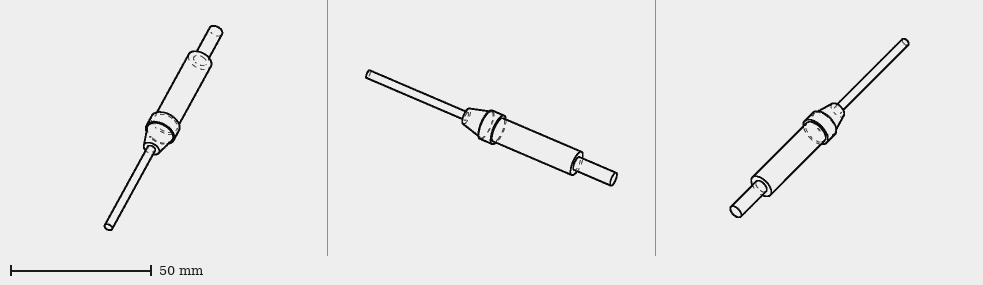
import cadquery as cq

SECTIONS = [
    (40.1, 3.0, 3.0),
    (8.0, 6.0, 10.0),
    (5.0, 11.0, 11.0),
    (32.1, 9.0, 9.0),
    (15.1, 5.0, 5.0),
]
TOTAL_LENGTH = sum(length for length, _, _ in SECTIONS)


def stepped_profile(sections, start):
    """Half outline of the stepped shaft, from the axis out and back to it."""
    points = [(0, start)]
    y = start
    for length, front_diameter, rear_diameter in sections:
        points.append((front_diameter / 2, y))
        y += length
        points.append((rear_diameter / 2, y))
    points.append((0, y))
    return points


profile = stepped_profile(SECTIONS, -TOTAL_LENGTH / 2)
result = (
    cq.Workplane("XY")
    .polyline(profile)
    .close()
    .revolve(360, (0, 0, 0), (0, 1, 0))
)